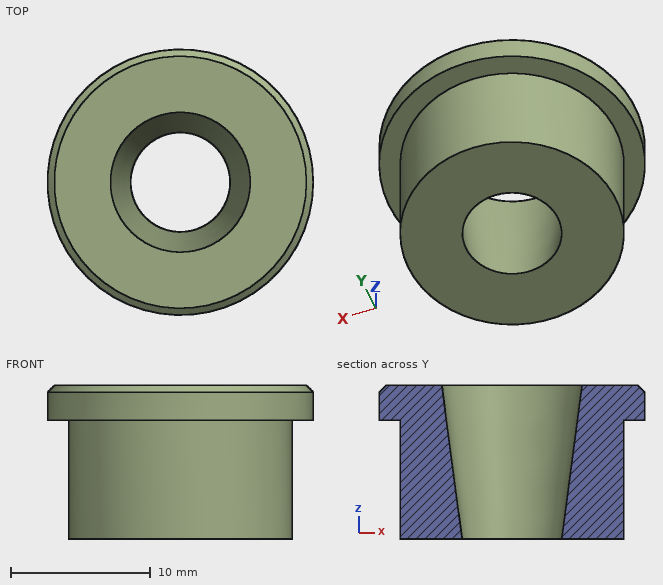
import cadquery as cq

flange_diameter = 19.0
body_diameter = 16.0
total_height = 11.0
flange_thickness = 2.5
rim_chamfer = 0.5
top_bore_diameter = 10.0
bottom_bore_diameter = 7.09

flange_radius = flange_diameter / 2
body_radius = body_diameter / 2
top_bore_radius = top_bore_diameter / 2
bottom_bore_radius = bottom_bore_diameter / 2
flange_bottom = total_height - flange_thickness


def make_bushing():
    """Cylindrical body with a chamfered flange on top."""
    body = cq.Workplane("XY").circle(body_radius).extrude(total_height)
    flange = (
        cq.Workplane("XY")
        .workplane(offset=flange_bottom)
        .circle(flange_radius)
        .extrude(flange_thickness)
        .faces(">Z")
        .edges()
        .chamfer(rim_chamfer)
    )
    return body.union(flange)


def make_bore():
    """Conical through bore, narrowing from the top face to a smaller opening at the bottom face."""
    return (
        cq.Workplane("XZ")
        .lineTo(bottom_bore_radius, 0)
        .lineTo(top_bore_radius, total_height)
        .lineTo(0, total_height)
        .close()
        .revolve(360, (0, 0), (0, 1))
    )


result = make_bushing().cut(make_bore())